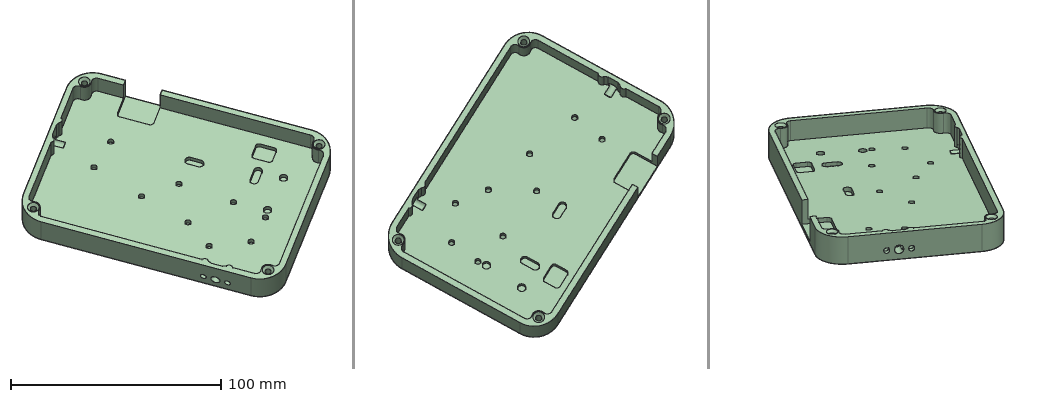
import cadquery as cq
import math

length = 131.4
width = 91.5
height = 14.5
outer_radius = 13.1
wall = 3.0
floor = 4.0

screw_inset = 7.0
pillar_radius = 3.3
pillar_blend = 2.5
countersink_diameter = 5.5
screw_diameter = 2.9
screw_depth = 9.2

pocket_depth = 2.4
notch_left, notch_right = -40.5, -22.2
notch_end_y = 31.7
notch_radius = 1.8
square_center = (33.1, 33.0)
square_size = (10.4, 9.0)
square_radius = 1.7
round_pocket_diameter = 4.0
round_pocket_centers = [(46.4, 22.1), (45.1, 1.8)]
slot_width = 4.1
slots = [
    ((33.6, 19.2), 9.9, 90),
    ((3.3, 17.6), 9.2, 0),
]

pilot_diameter = 2.9
pilot_depth = 2.5
drill_point_angle = 118
floor_pilot_centers = [
    (-38.2, 16.5),
    (0.3, 3.2),
    (28.3, 1.0),
    (-41.1, -0.3),
    (45.5, -2.6),
    (-14.3, -9.3),
    (11.4, -17.0),
    (43.5, -18.3),
    (25.4, -27.0),
]

front_mount_x = 34.7
left_mount_y = 7.6
mount_z = 5.3
mount_hole_diameter = 4.5
mount_hole_depth = 7.1
mount_pilot_offset = 6.0
boss_radius = 1.8
boss_projection = 0.9
recess_wall = 2.2
recess_inner_width = 5.5
recess_outer_width = 9.0

cavity_height = height - floor


def drilled_hole(diameter, depth):
    """Blind hole running down from the origin, ending in a drill point."""
    radius = diameter / 2
    tip = radius / math.tan(math.radians(drill_point_angle / 2))
    profile = [(0, 0), (radius, 0), (radius, -depth), (0, -depth - tip)]
    return cq.Workplane("XZ").polyline(profile).close().revolve(360, (0, 0), (0, 1))


def corner_pillar():
    """Pillar in the corner of two inner wall faces that run along +X and +Y."""
    center = screw_inset - wall
    reach = pillar_radius + pillar_blend
    blend_x = center + math.sqrt(reach**2 - (center - pillar_blend) ** 2)
    touch_x = center + (blend_x - center) * pillar_radius / reach
    touch_y = center + (pillar_blend - center) * pillar_radius / reach
    touch_angle = math.atan2(touch_y - pillar_blend, touch_x - blend_x) % (2 * math.pi)
    middle_angle = (touch_angle + 1.5 * math.pi) / 2
    middle_x = blend_x + pillar_blend * math.cos(middle_angle)
    middle_y = pillar_blend + pillar_blend * math.sin(middle_angle)
    crown = center + pillar_radius / math.sqrt(2)
    return (
        cq.Workplane("XY")
        .lineTo(blend_x, 0)
        .threePointArc((middle_x, middle_y), (touch_x, touch_y))
        .threePointArc((crown, crown), (touch_y, touch_x))
        .threePointArc((middle_y, middle_x), (0, blend_x))
        .close()
        .extrude(cavity_height)
    )


def wall_mount_cavity(cavity, place):
    """Recess the cavity wall and leave a boss on each side of the recess."""
    recess = cq.Workplane("XY").polyline([
        (-recess_outer_width / 2, wall),
        (-recess_inner_width / 2, recess_wall),
        (recess_inner_width / 2, recess_wall),
        (recess_outer_width / 2, wall),
    ]).close().extrude(cavity_height)
    boss_y = wall + boss_projection - boss_radius
    bosses = (
        cq.Workplane("XY")
        .pushPoints([(side * mount_pilot_offset, boss_y) for side in (-1, 1)])
        .circle(boss_radius)
        .extrude(cavity_height)
    )
    return cavity.union(place(recess, floor)).cut(place(bosses, floor))


def wall_mount_holes(place):
    """Hole through the wall that also grooves the floor, between two pilot holes."""
    holes = cq.Workplane("XZ").circle(mount_hole_diameter / 2).extrude(-mount_hole_depth)
    pilot = drilled_hole(pilot_diameter, pilot_depth).rotate((0, 0, 0), (1, 0, 0), 90)
    for side in (-1, 1):
        holes = holes.union(pilot.translate((side * mount_pilot_offset, 0, 0)))
    return place(holes, mount_z)


def on_front_wall(shape, z):
    """Move a shape from a wall along X, with its outer face at Y = 0, to the front wall."""
    return shape.translate((front_mount_x, -width / 2, z))


def on_left_wall(shape, z):
    """Turn the same shape onto the left wall."""
    return shape.rotate((0, 0, 0), (0, 0, 1), -90).translate((-length / 2, left_mount_y, z))


tray = cq.Workplane("XY").box(length, width, height, (True, True, False)).edges("|Z").fillet(outer_radius)
cavity = (
    cq.Workplane("XY", origin=(0, 0, floor))
    .rect(length - 2 * wall, width - 2 * wall)
    .extrude(cavity_height)
)
pillar = corner_pillar().translate((wall - length / 2, wall - width / 2, floor))
left_pillars = pillar.union(pillar.mirror("XZ"))
cavity = cavity.cut(left_pillars).cut(left_pillars.mirror("YZ"))
for place in (on_front_wall, on_left_wall):
    cavity = wall_mount_cavity(cavity, place)
tray = tray.cut(cavity)
for place in (on_front_wall, on_left_wall):
    tray = tray.cut(wall_mount_holes(place))

countersink_depth = (countersink_diameter - screw_diameter) / 2
countersink = cq.Workplane(cq.Solid.makeCone(
    screw_diameter / 2, countersink_diameter / 2, countersink_depth, cq.Vector(0, 0, -countersink_depth)
))
screw_hole = drilled_hole(screw_diameter, screw_depth).union(countersink)
for x_side in (-1, 1):
    for y_side in (-1, 1):
        x = x_side * (length / 2 - screw_inset)
        y = y_side * (width / 2 - screw_inset)
        tray = tray.cut(screw_hole.translate((x, y, height)))

floor_pilot = drilled_hole(pilot_diameter, pilot_depth)
for x, y in floor_pilot_centers:
    tray = tray.cut(floor_pilot.translate((x, y, floor)))

floor_plane = cq.Workplane("XY", origin=(0, 0, floor))
tray = tray.cut(
    floor_plane.pushPoints(round_pocket_centers).circle(round_pocket_diameter / 2).extrude(-pocket_depth)
)
tray = tray.cut(
    floor_plane.center(*square_center).rect(*square_size).extrude(-pocket_depth)
    .edges("|Z").fillet(square_radius)
)
for center, slot_length, angle in slots:
    slot = floor_plane.center(*center).slot2D(slot_length, slot_width, angle).extrude(-pocket_depth)
    tray = tray.cut(slot)

notch_floor = floor - pocket_depth
notch = (
    cq.Workplane("XY")
    .box(notch_right - notch_left, width / 2 - notch_end_y, height - notch_floor, False)
    .edges("|Z and <Y")
    .fillet(notch_radius)
    .translate((notch_left, notch_end_y, notch_floor))
)
result = tray.cut(notch)